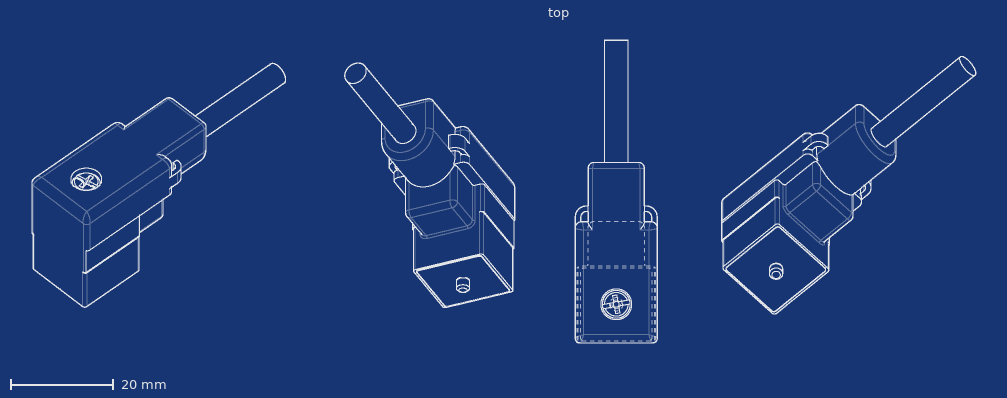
import cadquery as cq


total_length = 58.95
total_height = 27.5

hood_width = 16.0
hood_length = 23.65
hood_bottom = 9.1
waist_inset = 0.35
waist_width = hood_width - 2 * waist_inset
waist_bottom = 15.45
base_inset = 0.55
base_width = hood_width - 2 * base_inset
base_length = 15.0
base_bottom = 25.25

cable_axis_depth = 7.3
neck_width = 10.95
neck_end = 35.2
heel_bottom = 18.3

hood_top_radius = 1.65
hood_front_corner_radius = 0.9
hood_rear_corner_radius = 1.3
base_corner_radius = 0.6
neck_top_radius = 0.9
neck_end_radius = 1.2
heel_radius = 1.1
heel_blend_radius = 0.4
blend_search_margin = 0.05

loop_end = 26.7
loop_top = 4.25
loop_bottom = cable_axis_depth
loop_thickness = 1.1
loop_outer_radius = 2.2
loop_inner_radius = loop_outer_radius - loop_thickness

gasket_thickness = 0.2
gasket_bottom = base_bottom + gasket_thickness
gasket_side_inset = 0.55
gasket_end_inset = 0.35

cable_diameter = 4.6

screw_y = 7.55
bore_radius = 3.0
bore_depth = 2.95
shank_radius = 1.3
shank_chamfer = 0.5
head_radius = 2.7
head_top = 0.65
head_chamfer = 0.4
drive_width = 0.8
slot_depth = 0.7
cross_top_length = 3.55
cross_floor_length = 1.05
cross_depth = 1.5
drive_angle = 10.0


def block(width, y_start, y_end, bottom, top):
    """Box centred on the mid-plane, between two Y positions and two depths."""
    box = cq.Workplane("XY").box(width, y_end - y_start, bottom - top, centered=(True, False, False))
    return box.translate((0, y_start, -bottom))


def screw_cylinder(radius, bottom, top):
    """Cylinder on the screw axis between two depths."""
    return cq.Workplane("XY", origin=(0, screw_y, -bottom)).circle(radius).extrude(bottom - top)


def make_hood():
    hood = block(hood_width, 0, hood_length, hood_bottom, 0)
    hood = hood.edges("|Z and <Y").fillet(hood_front_corner_radius)
    hood = hood.edges("|Z and >Y").fillet(hood_rear_corner_radius)
    return hood.faces(">Z").edges().fillet(hood_top_radius)


def make_waist():
    """The hood's front corners carried down, with flat sides cut a little into them."""
    waist = block(hood_width, 0, base_length, waist_bottom, hood_bottom)
    waist = waist.edges("|Z and <Y").fillet(hood_front_corner_radius)
    waist = waist.intersect(block(waist_width, 0, base_length, waist_bottom, hood_bottom))
    return waist.edges("|Z and >Y").fillet(base_corner_radius)


def make_base():
    base = block(base_width, 0, base_length, base_bottom, waist_bottom)
    return base.edges("|Z").fillet(base_corner_radius)


def make_heel():
    heel = block(neck_width, base_length, hood_length, heel_bottom, cable_axis_depth)
    heel = heel.edges("|Z and >Y").fillet(heel_radius)
    return heel.faces("<Z").edges("not <Y").fillet(heel_radius)


def blend_heel(body):
    """Round the inner corner where the sides and bottom of the heel meet the rear of the base."""
    half_width = neck_width / 2 + blend_search_margin
    joint_edges = cq.selectors.BoxSelector(
        (-half_width, base_length - blend_search_margin, -heel_bottom - blend_search_margin),
        (half_width, base_length + blend_search_margin, -cable_axis_depth),
        boundingbox=True,
    )
    return body.edges(joint_edges).fillet(heel_blend_radius)


def make_neck():
    """Flat on top and half-round below, centred on the cable axis."""
    radius = neck_width / 2
    neck = (
        cq.Workplane("XZ", origin=(0, neck_end, 0))
        .moveTo(-radius, 0)
        .lineTo(radius, 0)
        .lineTo(radius, -cable_axis_depth)
        .threePointArc((0, -cable_axis_depth - radius), (-radius, -cable_axis_depth))
        .close()
        .extrude(neck_end - base_length)
    )
    neck = neck.edges("|Y and >Z").fillet(neck_top_radius)
    return neck.faces(">Y").edges().fillet(neck_end_radius)


def make_loops():
    """One band around the neck, which shows as a loop on each side."""
    outer = block(hood_width, hood_length - hood_rear_corner_radius, loop_end, loop_bottom, loop_top)
    outer = outer.edges("|Z and >Y").fillet(loop_outer_radius)
    opening_width = hood_width - 2 * loop_thickness
    opening = block(opening_width, hood_length, loop_end - loop_thickness, loop_bottom, loop_top)
    opening = opening.edges("|Z and >Y").fillet(loop_inner_radius)
    return outer.cut(opening)


def make_housing():
    body = make_hood().union(make_waist()).union(make_base()).union(make_heel())
    body = blend_heel(body)
    body = body.union(make_neck()).union(make_loops())
    body = body.cut(screw_cylinder(bore_radius, bore_depth, 0))
    return body.cut(screw_cylinder(shank_radius, base_bottom, bore_depth))


def make_gasket():
    plate = block(
        base_width - 2 * gasket_side_inset,
        gasket_end_inset,
        base_length - gasket_end_inset,
        gasket_bottom,
        base_bottom,
    )
    plate = plate.edges("|Z").fillet(base_corner_radius)
    return plate.cut(screw_cylinder(shank_radius, gasket_bottom, base_bottom))


def make_cable():
    end_face = cq.Workplane("XZ", origin=(0, total_length, -cable_axis_depth))
    return end_face.circle(cable_diameter / 2).extrude(total_length - neck_end)


def make_cross_arm():
    """One bar of the cross recess along X, narrowing in length towards its floor."""
    profile = cq.Workplane("XZ").polyline([
        (-cross_top_length / 2, 0),
        (cross_top_length / 2, 0),
        (cross_floor_length / 2, -cross_depth),
        (-cross_floor_length / 2, -cross_depth),
    ])
    return profile.close().extrude(drive_width / 2, both=True)


def make_drive():
    """Straight slot plus cross recess, cut down from Z = 0 about the origin."""
    drive = cq.Workplane("XY").rect(2 * head_radius, drive_width).extrude(-slot_depth)
    for angle in (0, 90):
        drive = drive.union(make_cross_arm().rotate((0, 0, 0), (0, 0, 1), angle))
    return drive.rotate((0, 0, 0), (0, 0, 1), drive_angle)


def make_screw():
    head = screw_cylinder(head_radius, bore_depth, head_top).faces(">Z").chamfer(head_chamfer)
    shank = screw_cylinder(shank_radius, total_height, bore_depth)
    shank = shank.faces("<Z").chamfer(shank_chamfer)
    return head.union(shank).cut(make_drive().translate((0, screw_y, -head_top)))


housing = make_housing()
gasket = make_gasket()
cable = make_cable()
screw = make_screw()

bodies = [housing, gasket, cable, screw]
result = cq.Compound.makeCompound([body.solids().val() for body in bodies])